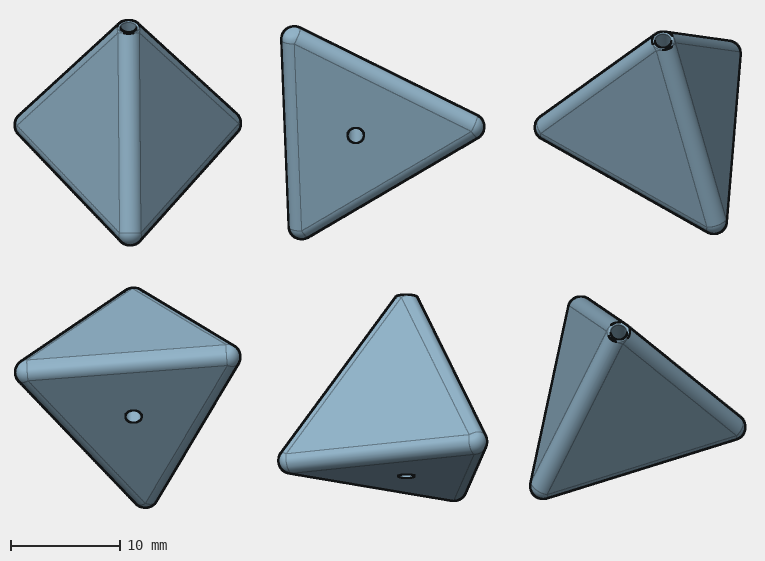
import cadquery as cq
import math

overall_width = 20.75
rounding = 1.2
bore_diameter = 1.5
lip_rounding = 0.15

core_edge = overall_width - 2 * rounding

sharp_edge = core_edge + 2 * math.sqrt(6) * rounding
sharp_height = sharp_edge * math.sqrt(2 / 3)
base_circumradius = sharp_edge / math.sqrt(3)


def tetrahedron():
    """Sharp regular tetrahedron on the XY plane, one base corner toward -X."""
    base = []
    for angle in (60, 180, 300):
        turn = math.radians(angle)
        corner_x = base_circumradius * math.cos(turn)
        corner_y = base_circumradius * math.sin(turn)
        base.append(cq.Vector(corner_x, corner_y, 0))
    apex = cq.Vector(0, 0, sharp_height)
    triangles = [base]
    for i in range(3):
        triangles.append([base[i], base[(i + 1) % 3], apex])
    faces = [cq.Face.makeFromWires(cq.Wire.makePolygon(t, close=True)) for t in triangles]
    return cq.Workplane(cq.Solid.makeSolid(cq.Shell.makeShell(faces)).fix())


def bore_cutter():
    """Through bore that flares at the apex into a lip tangent to the corner sphere."""
    bore_radius = bore_diameter / 2
    lip_center_radius = bore_radius + lip_rounding
    center_distance = rounding - lip_rounding
    tilt = math.asin(lip_center_radius / center_distance)
    sphere_z = rounding + core_edge * math.sqrt(2 / 3)
    lip_center_z = sphere_z + center_distance * math.cos(tilt)
    tangent_point = (rounding * math.sin(tilt), sphere_z + rounding * math.cos(tilt))
    middle_angle = (math.pi + math.pi / 2 - tilt) / 2
    lip_middle = (
        lip_center_radius + lip_rounding * math.cos(middle_angle),
        lip_center_z + lip_rounding * math.sin(middle_angle),
    )
    return (
        cq.Workplane("XZ")
        .moveTo(0, 0)
        .lineTo(bore_radius, 0)
        .lineTo(bore_radius, lip_center_z)
        .threePointArc(lip_middle, tangent_point)
        .lineTo(tangent_point[0], sharp_height)
        .lineTo(0, sharp_height)
        .close()
        .revolve(360, (0, 0, 0), (0, 1, 0))
    )


body = tetrahedron().edges().fillet(rounding)

result = body.cut(bore_cutter())